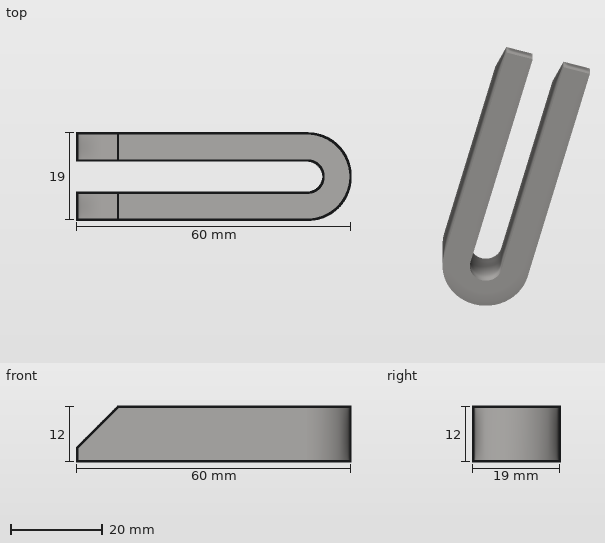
import cadquery as cq

length = 60.0
arm_width = 6.0
slot_width = 7.0
height = 12.0
tip_height = 3.0

width = slot_width + 2 * arm_width
outer_radius = width / 2
slot_radius = slot_width / 2
bend_x = length - outer_radius
bevel = height - tip_height


def round_ended_bar(bar_radius):
    """Bar from X = 0 to the bend centre, closed by a half circle at +X."""
    return (
        cq.Workplane("XY")
        .moveTo(0, -bar_radius)
        .lineTo(bend_x, -bar_radius)
        .threePointArc((bend_x + bar_radius, 0), (bend_x, bar_radius))
        .lineTo(0, bar_radius)
        .close()
        .extrude(height)
    )


def tip_bevel():
    """Wedge removed from the upper edge of both arm tips."""
    return (
        cq.Workplane("XZ")
        .moveTo(0, tip_height)
        .lineTo(bevel, height)
        .lineTo(0, height)
        .close()
        .extrude(outer_radius, both=True)
    )


result = round_ended_bar(outer_radius).cut(round_ended_bar(slot_radius)).cut(tip_bevel())